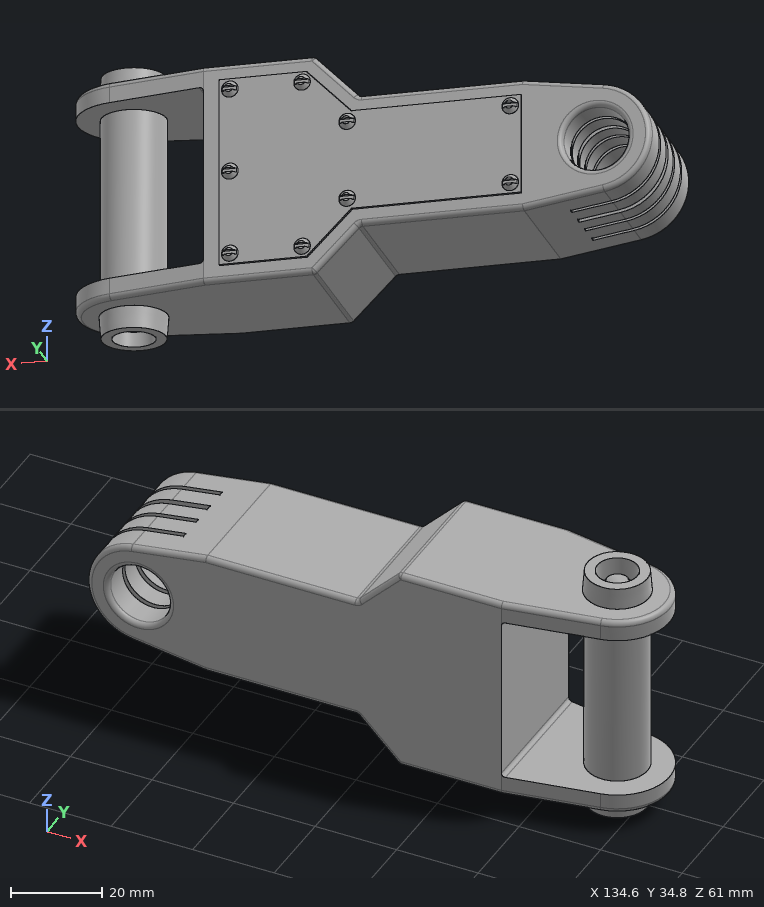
import cadquery as cq
import math

overall_length = 134.6
body_width = 33.0
edge_fillet = 1.2

eye_radius = 12.7
eye_hole_radius = 7.4
neck_start_x = 16.4
neck_half_height = 15.2

shoulder_x = 53.5
shoulder_angle = math.radians(45)
fork_half_height = 25.5
solid_end_x = 89.0
lug_radius = 12.8
lug_thickness = 4.8
pin_x = overall_length - eye_radius - lug_radius
throat_fillet = 1.0

slit_end_x = 7.5
slits = [(-8.9, 1.2), (-2.8, 1.2), (2.8, 1.6), (8.9, 1.2)]

pin_radius = 7.4
pin_length = 61.0
boss_base_radius = 7.7
boss_top_radius = 7.3
bore_mouth_radius = 4.8
bore_floor_radius = 4.5
bore_depth = 7.4
post_radius = 2.5
post_recess = 2.7
dome_height = 0.8

plate_inset = 3.8
plate_start_x = 16.7
plate_end_x = 85.2
plate_thickness = 0.7
screw_inset = 2.4
screw_radius = 1.9
screw_top_radius = 1.0
screw_height = 1.1
screw_slot_width = 1.0
screw_slot_depth = 0.8


def nose_tangent_point(radius, corner_distance, corner_half):
    """Where a line from a corner touches a nose arc centred on the origin.

    The first coordinate points towards the corner, the second sideways.
    """
    reach = math.hypot(corner_distance, corner_half)
    angle = math.atan2(corner_half, corner_distance) + math.acos(radius / reach)
    return radius * math.cos(angle), radius * math.sin(angle)


def shoulder_points(inset):
    """Neck and fork corners of one sloping shoulder, moved inwards by inset."""
    shift = inset * math.tan(shoulder_angle / 2)
    run = (fork_half_height - neck_half_height) / math.tan(shoulder_angle)
    return [
        (shoulder_x + shift, neck_half_height - inset),
        (shoulder_x + run + shift, fork_half_height - inset),
    ]


def mirrored(points):
    """The same points reflected in the X axis, in reverse order."""
    return [(x, -z) for x, z in reversed(points)]


def side_block():
    """Body outline in X and Z, drawn through the full width."""
    tangent = nose_tangent_point(eye_radius, neck_start_x, neck_half_height)
    end_x = pin_x + lug_radius
    upper = [tangent, (neck_start_x, neck_half_height)]
    upper += shoulder_points(0) + [(end_x, fork_half_height)]
    block = (
        cq.Workplane("XZ")
        .polyline(upper + mirrored(upper))
        .threePointArc((-eye_radius, 0), tangent)
        .close()
        .extrude(body_width / 2, both=True)
    )
    corners = [point for x, z in shoulder_points(0) for point in ((x, 0, z), (x, 0, -z))]
    for corner in corners:
        block = block.edges(cq.selectors.NearestToPointSelector(corner)).fillet(edge_fillet)
    return block


def plan_block():
    """Body outline in X and Y, tapering to the rounded lug ends."""
    half = body_width / 2
    run, side = nose_tangent_point(lug_radius, pin_x - solid_end_x, half)
    upper = [(-eye_radius, half), (solid_end_x, half), (pin_x - run, side)]
    lower = mirrored(upper)
    return (
        cq.Workplane("XY")
        .polyline(upper)
        .threePointArc((pin_x + lug_radius, 0), lower[0])
        .polyline(lower[1:], includeCurrent=True)
        .close()
        .extrude(fork_half_height, both=True)
    )


def outer_rims(shape):
    """Edges of both side faces, eye hole included, and around both outer lug faces."""
    split_x = solid_end_x - edge_fillet
    side_edges = shape.faces("<Y or >Y").edges().vals()
    lug_edges = shape.faces("<Z or >Z").edges().vals()
    side_rim = [edge for edge in side_edges if edge.Center().x < split_x]
    lug_rim = [edge for edge in lug_edges if edge.Center().x > split_x]
    return side_rim + lug_rim


def fork_gap():
    """Space between the lugs, with rounded inner corners."""
    length = pin_x + lug_radius - solid_end_x
    height = 2 * (fork_half_height - lug_thickness)
    return (
        cq.Workplane("XY")
        .box(length, body_width, height)
        .edges("<X and |Y")
        .fillet(throat_fillet)
        .translate((solid_end_x + length / 2, 0, 0))
    )


def eye_slits():
    """Slits open at the round end of the eye, running through its full height."""
    length = eye_radius + slit_end_x
    cutters = cq.Workplane("XY")
    for y_middle, width in slits:
        slit = cq.Workplane("XY").box(length, width, 2 * neck_half_height)
        cutters = cutters.add(slit.translate((slit_end_x - length / 2, y_middle, 0)))
    return cutters.combine()


def body():
    """Lever with rounded rims, eye hole, slits and fork gap."""
    eye_hole = cq.Workplane("XZ").circle(eye_hole_radius).extrude(body_width, both=True)
    shape = side_block().intersect(plan_block()).cut(eye_hole)
    shape = shape.newObject(outer_rims(shape)).fillet(edge_fillet)
    return shape.cut(eye_slits()).cut(fork_gap())


def pin_half():
    """Upper half of the fork pin: shank, tapered boss, and bore around a domed post."""
    top_z = pin_length / 2
    floor_z = top_z - bore_depth
    post_z = top_z - post_recess
    boss_start_z = fork_half_height - lug_thickness / 2
    dome_radius = (post_radius**2 + dome_height**2) / (2 * dome_height)
    half_angle = math.asin(post_radius / dome_radius) / 2
    dome_middle = (
        dome_radius * math.sin(half_angle),
        post_z + dome_height - dome_radius * (1 - math.cos(half_angle)),
    )
    return (
        cq.Workplane("XZ")
        .polyline([
            (0, 0),
            (pin_radius, 0),
            (pin_radius, boss_start_z),
            (boss_base_radius, boss_start_z),
            (boss_base_radius, fork_half_height),
            (boss_top_radius, top_z),
            (bore_mouth_radius, top_z),
            (bore_floor_radius, floor_z),
            (post_radius, floor_z),
            (post_radius, post_z),
        ])
        .threePointArc(dome_middle, (0, post_z + dome_height))
        .close()
        .revolve(360, (0, 0), (0, 1))
        .translate((pin_x, 0, 0))
    )


def cover_plate():
    """Thin plate on the +Y face, following the body outline at a constant inset."""
    neck_corner, fork_corner = shoulder_points(plate_inset)
    upper = [
        (plate_start_x, neck_corner[1]),
        neck_corner,
        fork_corner,
        (plate_end_x, fork_corner[1]),
    ]
    return (
        cq.Workplane("XZ", origin=(0, body_width / 2, 0))
        .polyline(upper + mirrored(upper))
        .close()
        .extrude(-plate_thickness)
    )


def screw_places():
    """A screw at each plate corner and one midway along the fork end of the plate."""
    neck_corner, fork_corner = shoulder_points(plate_inset + screw_inset)
    end_x = plate_end_x - screw_inset
    upper = [
        (plate_start_x + screw_inset, neck_corner[1]),
        neck_corner,
        fork_corner,
        (end_x, fork_corner[1]),
    ]
    return upper + mirrored(upper) + [(end_x, 0)]


def screw_heads():
    """Conical screw heads, each with a driver slot along X."""
    seat_y = body_width / 2 + plate_thickness
    top_y = seat_y + screw_height
    head = cq.Workplane("XY").add(
        cq.Solid.makeCone(
            screw_radius,
            screw_top_radius,
            screw_height,
            pnt=cq.Vector(0, seat_y, 0),
            dir=cq.Vector(0, 1, 0),
        )
    )
    slot = (
        cq.Workplane("XY")
        .box(2 * screw_radius, screw_slot_depth, screw_slot_width)
        .translate((0, top_y - screw_slot_depth / 2, 0))
    )
    head = head.cut(slot)
    heads = cq.Workplane("XY")
    for x, z in screw_places():
        heads = heads.add(head.translate((x, 0, z)))
    return heads.combine()


upper_pin = pin_half()
pin = upper_pin.union(upper_pin.mirror("XY"))
result = body().union(pin).union(cover_plate()).union(screw_heads())